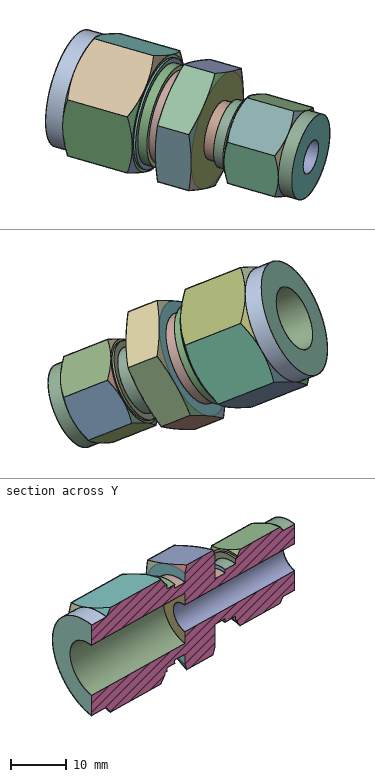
import math
import cadquery as cq


overall_length = 47.8
large_hex_start = 3.45
large_hex_end = 17.35
large_collar_end = 17.8
large_thread_end = 19.6
body_hex_start = 21.95
body_hex_end = 29.1
small_neck_end = 31.4
small_thread_end = 33.85
small_hex_start = 34.25
small_hex_end = 45.1

large_flats = 22.0
small_flats = 16.05

large_collar_diameter = 20.95
large_thread_diameter = 19.15
large_neck_diameter = 17.5
small_neck_diameter = 11.15
small_thread_diameter = 12.8
small_collar_diameter = 15.25

tube_socket_diameter = 12.05
tube_socket_depth = body_hex_start
through_bore_diameter = 6.4

nut_chamfer_angle = 30.0
body_chamfer_angle = 15.0


def cylinder(start, end, diameter):
    """Round section along X between two stations."""
    return cq.Workplane("YZ").workplane(offset=start).circle(diameter / 2).extrude(end - start)


def chamfered_hex(start, end, flats, chamfer_angle):
    """Hexagon along X with corners at +Z and -Z, both ends turned down to the inscribed circle."""
    flat_radius = flats / 2
    corner_radius = flat_radius / math.cos(math.radians(30))
    chamfer_length = (corner_radius - flat_radius) * math.tan(math.radians(chamfer_angle))
    prism = (
        cq.Workplane("YZ")
        .workplane(offset=start)
        .transformed(rotate=(0, 0, 90))
        .polygon(6, 2 * corner_radius)
        .extrude(end - start)
    )
    turned_envelope = (
        cq.Workplane("XY")
        .moveTo(start, 0)
        .lineTo(start, flat_radius)
        .lineTo(start + chamfer_length, corner_radius)
        .lineTo(end - chamfer_length, corner_radius)
        .lineTo(end, flat_radius)
        .lineTo(end, 0)
        .close()
        .revolve(360, (0, 0, 0), (1, 0, 0))
    )
    return prism.intersect(turned_envelope)


large_nut = (
    cylinder(0, large_hex_start, large_flats)
    .union(chamfered_hex(large_hex_start, large_hex_end, large_flats, nut_chamfer_angle))
    .union(cylinder(large_hex_end, large_collar_end, large_collar_diameter))
)

body = (
    cylinder(large_collar_end, large_thread_end, large_thread_diameter)
    .union(cylinder(large_thread_end, body_hex_start, large_neck_diameter))
    .union(chamfered_hex(body_hex_start, body_hex_end, large_flats, body_chamfer_angle))
    .union(cylinder(body_hex_end, small_neck_end, small_neck_diameter))
    .union(cylinder(small_neck_end, small_thread_end, small_thread_diameter))
)

small_nut = (
    cylinder(small_thread_end, small_hex_start, small_collar_diameter)
    .union(chamfered_hex(small_hex_start, small_hex_end, small_flats, nut_chamfer_angle))
    .union(cylinder(small_hex_end, overall_length, small_flats))
)

through_bore = cylinder(0, overall_length, through_bore_diameter)
tube_socket = cylinder(0, tube_socket_depth, tube_socket_diameter)

result = large_nut.union(body).union(small_nut).cut(through_bore).cut(tube_socket)